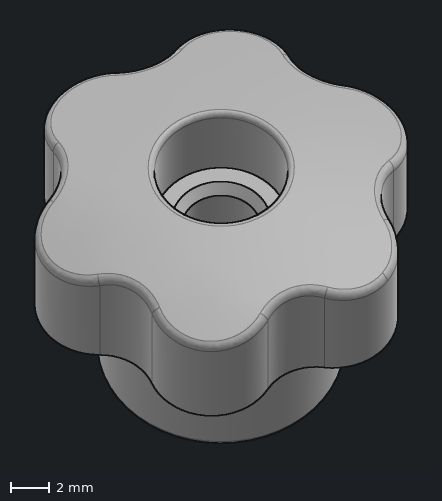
import cadquery as cq
import math

tip_radius = 10.5
height = 15.75

lobe_count = 6
lobe_radius = 3.35
valley_depth_radius = 8.42
dome_radius = 28.55
grip_edge_fillet = 0.5

neck_diameter = 13.0
neck_height = 8.05
neck_edge_fillet = 0.5

recess_diameter = 7.0
recess_depth = 4.66
recess_edge_fillet = 0.3
rim_diameter = 7.69
hole_diameter = 4.14
hole_chamfer = 0.52

lobe_center_radius = tip_radius - lobe_radius
half_pitch = math.pi / lobe_count
lobe_across = lobe_center_radius * math.sin(half_pitch)
lobe_along = lobe_center_radius * math.cos(half_pitch)
center_gap = valley_depth_radius - lobe_along
valley_radius = (lobe_across**2 + center_gap**2 - lobe_radius**2) / (2 * (lobe_radius - center_gap))
valley_center_radius = valley_depth_radius + valley_radius
touch_share = lobe_radius / (lobe_radius + valley_radius)
touch_along = lobe_along + touch_share * (valley_center_radius - lobe_along)
touch_across = lobe_across * (1 - touch_share)
touch_radius = math.hypot(touch_along, touch_across)
touch_angle = math.atan2(touch_across, touch_along)

dome_center_z = height - math.sqrt(dome_radius**2 - (rim_diameter / 2) ** 2)


def polar(radius, angle):
    return (radius * math.cos(angle), radius * math.sin(angle))


def make_grip():
    outline = cq.Workplane("XY").workplane(offset=neck_height)
    outline = outline.moveTo(*polar(touch_radius, touch_angle - half_pitch))
    for index in range(lobe_count):
        lobe_angle = index * 2 * half_pitch
        valley_angle = lobe_angle + half_pitch
        outline = outline.threePointArc(
            polar(tip_radius, lobe_angle),
            polar(touch_radius, valley_angle - touch_angle),
        )
        outline = outline.threePointArc(
            polar(valley_depth_radius, valley_angle),
            polar(touch_radius, valley_angle + touch_angle),
        )
    prism = outline.close().extrude(height)
    dome = cq.Workplane("XY").sphere(dome_radius).translate((0, 0, dome_center_z))
    grip = prism.intersect(dome)
    return grip.faces(">Z").edges().fillet(grip_edge_fillet)


def make_neck():
    neck = cq.Workplane("XY").circle(neck_diameter / 2).extrude(neck_height)
    return neck.faces("<Z").edges().fillet(neck_edge_fillet)


def cut_bore(body):
    recess_floor_z = height - recess_depth
    recess = (
        cq.Workplane("XY")
        .workplane(offset=recess_floor_z)
        .circle(recess_diameter / 2)
        .extrude(height)
    )
    body = body.cut(recess)
    body = body.faces(">Z").edges(">Z").fillet(recess_edge_fillet)
    hole = cq.Workplane("XY").circle(hole_diameter / 2).extrude(recess_floor_z)
    countersink = (
        cq.Workplane("XY")
        .workplane(offset=recess_floor_z)
        .circle(hole_diameter / 2 + hole_chamfer)
        .workplane(offset=-hole_chamfer)
        .circle(hole_diameter / 2)
        .loft()
    )
    return body.cut(hole).cut(countersink)


result = cut_bore(make_grip().union(make_neck()))